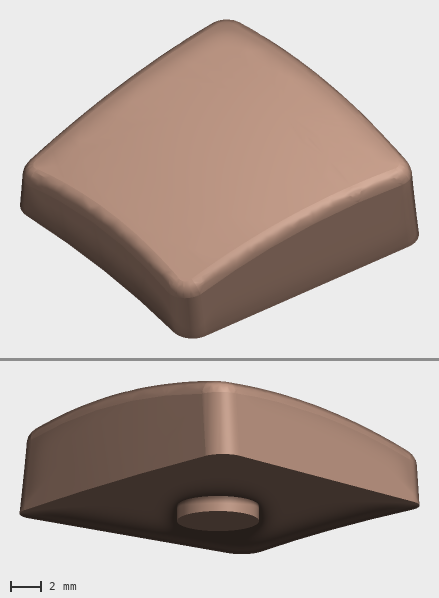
import cadquery as cq
import math

cap_height = 6.24
stem_diameter = 5.3
stem_length = 1.0

wall_centre_x = 8.12
front_wall_y = -9.25
front_wall_radius = 69.85
back_wall_y = 9.55
back_wall_radius = 138.85

right_base_x = 9.75
right_draft = 10.0
left_base_x = -10.23
left_skew = 11.7
left_draft = 5.0

dome_radius = 51.7
dome_summit_y = 4.7

corner_radius = 1.5
rim_radius = 1.0

blank_height = 1.5 * cap_height
blank_half_depth = 17.09


def side_outline(height):
    """Corners of the four-sided section between the leaning walls at a height."""
    right_x = right_base_x - height * math.tan(math.radians(right_draft))
    left_x = left_base_x + height * math.tan(math.radians(left_draft))
    skew_shift = blank_half_depth * math.tan(math.radians(left_skew))
    return [
        (right_x, -blank_half_depth),
        (right_x, blank_half_depth),
        (left_x - skew_shift, blank_half_depth),
        (left_x + skew_shift, -blank_half_depth),
    ]


def leaning_block():
    """Block bounded by the planar left and right walls."""
    return (
        cq.Workplane("XY").polyline(side_outline(0)).close()
        .workplane(offset=blank_height).polyline(side_outline(blank_height)).close()
        .loft(ruled=True)
    )


def wall_cylinder(wall_y, radius):
    """Upright cylinder whose +Y extreme touches the given wall position."""
    return (
        cq.Workplane("XY").center(wall_centre_x, wall_y - radius)
        .circle(radius).extrude(blank_height)
    )


def cap():
    """Wedge-shaped cap with rounded corners, domed top and rounded rim."""
    body = leaning_block().intersect(wall_cylinder(back_wall_y, back_wall_radius))
    body = body.cut(wall_cylinder(front_wall_y, front_wall_radius))
    body = body.edges("not(<Z or >Z)").fillet(corner_radius)
    dome = cq.Workplane("XY").sphere(dome_radius).translate(
        (0, dome_summit_y, cap_height - dome_radius)
    )
    return body.intersect(dome).faces(">Z").edges().fillet(rim_radius)


stem = cq.Workplane("XY").circle(stem_diameter / 2).extrude(-stem_length)
result = cap().union(stem)